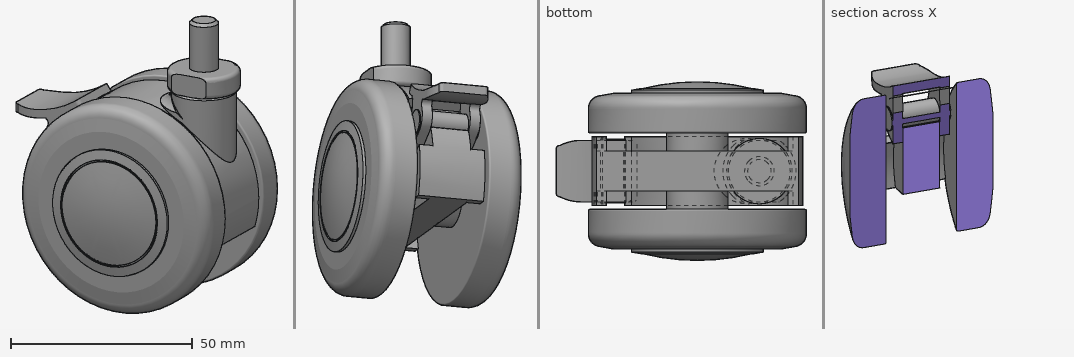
import cadquery as cq
import math


WHEEL_RADIUS = 30.0
WHEEL_INNER_Y = 10.5
TREAD_EDGE_Y = 17.0
TREAD_INNER_ROUND = 0.5
SHOULDER_RADIUS = 26.65
SHOULDER_Y = 20.8
DISC_RADIUS = 23.0
DISC_Y = 21.45
CAP_RADIUS = 18.15
CAP_RIM_Y = 22.3
DOME_RADIUS = 14.85
DOME_EDGE_Y = 22.8
DOME_APEX_Y = 24.6
GROOVE_WIDTH = 0.5
GROOVE_DEPTH = 0.5

DRUM_RADIUS = 29.0
DRUM_HALF_WIDTH = 9.5
RIM_INNER_RADIUS = 26.4
WEB_HALF_WIDTH = 5.5
HUB_RADIUS = 8.5
STEM_X = 17.1
SOCKET_RADIUS = 9.0
SOCKET_TOP_Z = 32.5
SOCKET_CHAMFER = 0.5
SOCKET_FILLET = 3.3
FLARE_REACH = 3.5
FLARE_TOP = (9.0, 31.35)
FLARE_TAIL = (15.0, 26.3)
POCKET_EDGE_X = -20.0
WEB_TOP_Z = 11.6
LIP_OUTER = (-28.5, 5.85)
LIP_INNER = (-26.2, 4.8)

STEM_RADIUS = 4.05
STEM_TOP_Z = 52.5
STEM_CHAMFER = 0.8
COLLAR_RADIUS = 10.1
COLLAR_TOP_Z = 38.6
COLLAR_ROUND = 1.2
COLLAR_ACROSS_FLATS = 16.9

LEVER_HALF_WIDTH = 8.5
LEVER_TIP_X = -38.85
LEVER_END_X = -18.1
TREAD_LOW_X = -34.2
TREAD_LOW_Z = 20.7
TREAD_CURVE_RADIUS = 27.6
PLATE_THICKNESS = 2.5
END_CORNER_ROUND = 1.2
TIP_ARC_START_X = -31.85
TIP_ARC_RADIUS = 13.2
TIP_ARC_END_X = -37.8
TIP_FLAT_HALF_WIDTH = 6.2
PIVOT_X = -23.2
PIVOT_Z = 13.6
PIN_RADIUS = 3.5
PIN_HALF_LENGTH = 8.8
ARM_ROUND_RADIUS = 4.9
ARM_ROUND_Z = 14.8
ARM_FILLET = 1.5
TOE_ANGLE = math.radians(30)
TOE_LENGTH = 7.0

far_size = 4 * DRUM_RADIUS
pocket_edge_z = math.sqrt(DRUM_RADIUS**2 - POCKET_EDGE_X**2)
pocket_inner_scale = RIM_INNER_RADIUS / DRUM_RADIUS
pocket_inner = (POCKET_EDGE_X * pocket_inner_scale, pocket_edge_z * pocket_inner_scale)
tread_center_z = TREAD_LOW_Z + TREAD_CURVE_RADIUS


def disc(radius, half_width):
    """Cylinder about the wheel axis, centred on the middle plane."""
    return cq.Workplane("XZ").circle(radius).extrude(half_width, both=True)


def make_wheel(side):
    """Wheel with rounded tread, dished disc and domed cap; side is +1 or -1 along Y."""
    diagonal = math.sqrt(0.5)
    round_mid = (
        SHOULDER_RADIUS + (WHEEL_RADIUS - SHOULDER_RADIUS) * diagonal,
        TREAD_EDGE_Y + (SHOULDER_Y - TREAD_EDGE_Y) * diagonal,
    )
    groove_outer = DOME_RADIUS + GROOVE_WIDTH
    groove_floor_y = DOME_EDGE_Y - GROOVE_DEPTH
    dome_rise = DOME_APEX_Y - DOME_EDGE_Y
    dome_sphere = (DOME_RADIUS**2 + dome_rise**2) / (2 * dome_rise)
    dome_mid_r = DOME_RADIUS / 2
    dome_mid_y = DOME_APEX_Y - dome_sphere + math.sqrt(dome_sphere**2 - dome_mid_r**2)
    section = (
        cq.Workplane("XY")
        .moveTo(0, WHEEL_INNER_Y)
        .lineTo(WHEEL_RADIUS - TREAD_INNER_ROUND, WHEEL_INNER_Y)
        .radiusArc((WHEEL_RADIUS, WHEEL_INNER_Y + TREAD_INNER_ROUND), -TREAD_INNER_ROUND)
        .lineTo(WHEEL_RADIUS, TREAD_EDGE_Y)
        .threePointArc(round_mid, (SHOULDER_RADIUS, SHOULDER_Y))
        .lineTo(DISC_RADIUS, DISC_Y)
        .lineTo(CAP_RADIUS, DISC_Y)
        .lineTo(CAP_RADIUS, CAP_RIM_Y)
        .lineTo(groove_outer, DOME_EDGE_Y)
        .lineTo(groove_outer, groove_floor_y)
        .lineTo(DOME_RADIUS, groove_floor_y)
        .lineTo(DOME_RADIUS, DOME_EDGE_Y)
        .threePointArc((dome_mid_r, dome_mid_y), (0, DOME_APEX_Y))
        .close()
    )
    wheel = section.revolve(360, (0, 0, 0), (0, 1, 0))
    return wheel if side > 0 else wheel.mirror("XZ")


def make_web_slab():
    """Oversize slab as thick as the web, which parts the two sides from the middle."""
    return cq.Workplane("XY").box(far_size, 2 * WEB_HALF_WIDTH, far_size)


def make_socket_column():
    """Plain column of the stem socket, from the height of the wheel axis up to the collar."""
    return cq.Workplane("XY").center(STEM_X, 0).circle(SOCKET_RADIUS).extrude(SOCKET_TOP_Z)


def make_pivot_pin():
    """Pin of the lever, which rests in a matching seat in the top of the web."""
    pivot = cq.Workplane("XZ").center(PIVOT_X, PIVOT_Z)
    return pivot.circle(PIN_RADIUS).extrude(PIN_HALF_LENGTH, both=True)


def make_drum_and_socket():
    """Drum with the stem socket, and a filleted flare on the side of the socket towards the lever."""
    drum = disc(DRUM_RADIUS, DRUM_HALF_WIDTH)
    socket = make_socket_column()
    joint_box = cq.selectors.BoxSelector(
        (STEM_X - COLLAR_RADIUS, -COLLAR_RADIUS, HUB_RADIUS),
        (STEM_X + COLLAR_RADIUS, COLLAR_RADIUS, DRUM_RADIUS),
    )
    wide_drum = disc(DRUM_RADIUS, 2 * DRUM_HALF_WIDTH)
    flare = wide_drum.union(socket).edges(joint_box).fillet(SOCKET_FILLET)
    flare_plan = make_socket_column().translate((-FLARE_REACH, 0, 0))
    slope = (FLARE_TOP[1] - FLARE_TAIL[1]) / (FLARE_TOP[0] - FLARE_TAIL[0])
    flare_side = (
        cq.Workplane("XZ")
        .moveTo(0, FLARE_TOP[1] - slope * FLARE_TOP[0])
        .lineTo(STEM_X, FLARE_TOP[1] + slope * (STEM_X - FLARE_TOP[0]))
        .lineTo(STEM_X, 0)
        .lineTo(0, 0)
        .close()
        .extrude(SOCKET_RADIUS, both=True)
    )
    flare = flare.intersect(flare_plan).intersect(flare_side)
    top_trim = socket.faces(">Z").edges().chamfer(SOCKET_CHAMFER)
    return drum.union(top_trim).union(flare.cut(socket))


def make_side_recesses():
    """Hollows beside the web, inside the rim, leaving the hub and the socket standing."""
    depth = DRUM_HALF_WIDTH - WEB_HALF_WIDTH
    hollow = cq.Workplane("XZ", origin=(0, DRUM_HALF_WIDTH, 0)).circle(RIM_INNER_RADIUS)
    hollow = hollow.circle(HUB_RADIUS).extrude(depth)
    hollow = hollow.cut(make_socket_column())
    return hollow.union(hollow.mirror("XZ"))


def make_lever_pocket():
    """Opening for the lever: full width above the web seat, then down each side to the lip."""
    upper = (
        cq.Workplane("XZ")
        .moveTo(POCKET_EDGE_X, pocket_edge_z)
        .lineTo(*pocket_inner)
        .lineTo(pocket_inner[0], WEB_TOP_Z)
        .lineTo(-far_size, WEB_TOP_Z)
        .lineTo(-far_size, pocket_edge_z)
        .close()
        .extrude(DRUM_HALF_WIDTH, both=True)
    )
    sides = (
        cq.Workplane("XZ")
        .moveTo(pocket_inner[0], LIP_INNER[1])
        .lineTo(*LIP_INNER)
        .lineTo(*LIP_OUTER)
        .lineTo(-far_size, LIP_OUTER[1])
        .lineTo(-far_size, WEB_TOP_Z)
        .lineTo(pocket_inner[0], WEB_TOP_Z)
        .close()
        .extrude(DRUM_HALF_WIDTH, both=True)
    )
    return upper.union(sides.cut(make_web_slab()))


def make_housing():
    """Rim, web, hub and stem socket, cut flat level with the underside of the hub."""
    below = cq.Workplane("XY", origin=(0, 0, -HUB_RADIUS)).rect(far_size, far_size)
    below = below.extrude(-DRUM_RADIUS)
    housing = make_drum_and_socket().cut(make_side_recesses()).cut(make_lever_pocket())
    housing = housing.cut(make_pivot_pin()).cut(below)
    return housing.union(disc(HUB_RADIUS, WHEEL_INNER_Y))


def make_stem():
    """Stem on a round collar with two flats, standing on the socket."""
    collar = (
        cq.Workplane("XY", origin=(STEM_X, 0, SOCKET_TOP_Z))
        .circle(COLLAR_RADIUS)
        .extrude(COLLAR_TOP_Z - SOCKET_TOP_Z)
        .edges()
        .fillet(COLLAR_ROUND)
    )
    flats = cq.Workplane("XY").box(far_size, COLLAR_ACROSS_FLATS, far_size)
    shank = (
        cq.Workplane("XY", origin=(STEM_X, 0, COLLAR_TOP_Z))
        .circle(STEM_RADIUS)
        .extrude(STEM_TOP_Z - COLLAR_TOP_Z)
        .faces(">Z")
        .chamfer(STEM_CHAMFER)
    )
    return collar.intersect(flats).union(shank)


def tread_point(x, depth):
    """Point at a depth under the lever's curved tread, on the normal of the tread at x."""
    angle = math.asin((x - TREAD_LOW_X) / TREAD_CURVE_RADIUS)
    radius = TREAD_CURVE_RADIUS + depth
    return (TREAD_LOW_X + radius * math.sin(angle), tread_center_z - radius * math.cos(angle))


def make_lever_plate():
    """Curved foot plate with a bowed tip and rounded corners at its upper end."""
    far_x = LEVER_TIP_X - PLATE_THICKNESS
    plate = (
        cq.Workplane("XZ")
        .moveTo(*tread_point(far_x, 0))
        .threePointArc(tread_point(TREAD_LOW_X, 0), tread_point(LEVER_END_X, 0))
        .lineTo(*tread_point(LEVER_END_X, PLATE_THICKNESS))
        .threePointArc(tread_point(TREAD_LOW_X, PLATE_THICKNESS), tread_point(far_x, PLATE_THICKNESS))
        .close()
        .extrude(LEVER_HALF_WIDTH, both=True)
        .faces(">X")
        .edges("not |Y")
        .fillet(END_CORNER_ROUND)
    )
    bow_run = TIP_ARC_START_X - TIP_ARC_END_X
    bow_drop = TIP_ARC_RADIUS - math.sqrt(TIP_ARC_RADIUS**2 - bow_run**2)
    bow_y = LEVER_HALF_WIDTH - bow_drop
    corner = LEVER_TIP_X - TIP_ARC_END_X
    plan = (
        cq.Workplane("XY")
        .moveTo(0, -LEVER_HALF_WIDTH)
        .lineTo(0, LEVER_HALF_WIDTH)
        .lineTo(TIP_ARC_START_X, LEVER_HALF_WIDTH)
        .radiusArc((TIP_ARC_END_X, bow_y), -TIP_ARC_RADIUS)
        .radiusArc((LEVER_TIP_X, TIP_FLAT_HALF_WIDTH), corner)
        .lineTo(LEVER_TIP_X, -TIP_FLAT_HALF_WIDTH)
        .radiusArc((TIP_ARC_END_X, -bow_y), corner)
        .radiusArc((TIP_ARC_START_X, -LEVER_HALF_WIDTH), -TIP_ARC_RADIUS)
        .close()
        .extrude(DRUM_RADIUS)
    )
    return plate.intersect(plan)


def make_lever_arms():
    """Pair of arms under the plate, round about the pivot and ending in an inward brake toe."""
    front_x = PIVOT_X - ARM_ROUND_RADIUS
    fillet_top_z = tread_point(front_x, PLATE_THICKNESS)[1]
    center_gap = ARM_ROUND_RADIUS + ARM_FILLET
    fillet_rise = fillet_top_z - ARM_FILLET - ARM_ROUND_Z
    fillet_run = math.sqrt(center_gap**2 - fillet_rise**2)
    fillet_start = (
        PIVOT_X - fillet_run * ARM_ROUND_RADIUS / center_gap,
        ARM_ROUND_Z + fillet_rise * ARM_ROUND_RADIUS / center_gap,
    )
    fillet_end_x = PIVOT_X - fillet_run
    toe_start = (
        PIVOT_X - ARM_ROUND_RADIUS * math.sin(TOE_ANGLE),
        ARM_ROUND_Z - ARM_ROUND_RADIUS * math.cos(TOE_ANGLE),
    )
    toe_end = (
        toe_start[0] + TOE_LENGTH * math.cos(TOE_ANGLE),
        toe_start[1] - TOE_LENGTH * math.sin(TOE_ANGLE),
    )
    mid_plate = PLATE_THICKNESS / 2
    arms = (
        cq.Workplane("XZ")
        .moveTo(*fillet_start)
        .radiusArc(toe_start, -ARM_ROUND_RADIUS)
        .lineTo(*toe_end)
        .lineTo(POCKET_EDGE_X, pocket_edge_z)
        .lineTo(*tread_point(POCKET_EDGE_X, mid_plate))
        .lineTo(*tread_point(fillet_end_x, mid_plate))
        .lineTo(fillet_end_x, fillet_top_z)
        .radiusArc(fillet_start, ARM_FILLET)
        .close()
        .extrude(LEVER_HALF_WIDTH, both=True)
    )
    return arms.cut(make_web_slab())


def make_lever():
    """Foot plate, arms and the pivot pin that joins the arms above the web."""
    return make_lever_plate().union(make_lever_arms()).union(make_pivot_pin())


housing = make_housing()
stem = make_stem()
lever = make_lever()
wheels = [make_wheel(side) for side in (1, -1)]

result = cq.Compound.makeCompound(
    [
        housing.solids().val(),
        stem.solids().val(),
        lever.solids().val(),
        *[wheel.val() for wheel in wheels],
    ]
)